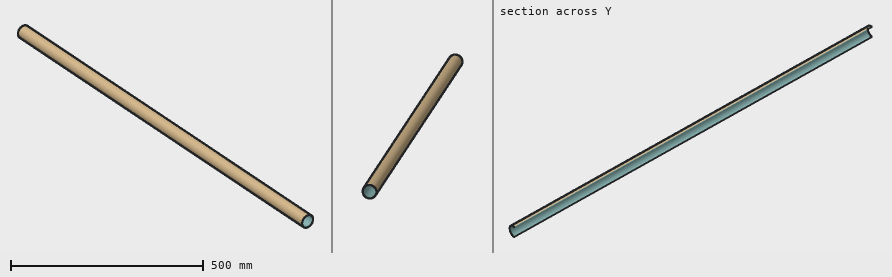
import cadquery as cq

length = 1193.8
outer_diameter = 38.1
wall = 1.65
inner_diameter = outer_diameter - 2 * wall

result = (
    cq.Workplane("YZ", origin=(-length / 2, 0, 0))
    .circle(outer_diameter / 2)
    .circle(inner_diameter / 2)
    .extrude(length)
)